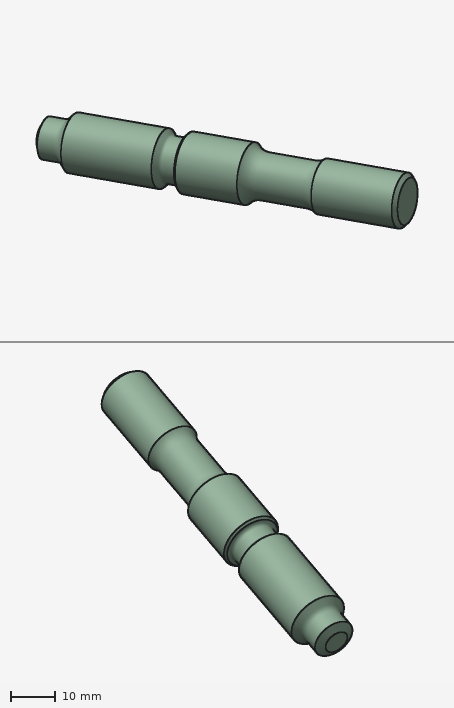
import cadquery as cq
import math

length = 91.0

nose_face_radius = 2.9
nose_radius = 5.0
body_radius = 7.0
groove_radius = 5.55
collar_diameter = 14.5
collar_radius = collar_diameter / 2
neck_radius = groove_radius
tail_radius = 6.5

nose_chamfer_end = 1.2
body_start = 8.0
body_end = 30.5
collar_start = 35.9
collar_end = 51.9
tail_start = 70.0

collar_chamfer = 0.55
tail_chamfer = 1.0
shoulder_root_radius = 2.0
groove_root_radius = 1.0
neck_root_radius = 5.0
cone_angle = math.radians(45)


def cone_root(root_radius):
    """Axial run and radial rise of a root arc turning from the axis to the cone slope."""
    run = root_radius * math.sin(cone_angle)
    rise = root_radius * (1 - math.cos(cone_angle))
    return run, rise


def arc_run(root_radius, rise):
    """Axial run of an arc that leaves a cylinder tangentially and climbs by rise."""
    return math.sqrt(root_radius**2 - (root_radius - rise) ** 2)


shoulder_run, shoulder_rise = cone_root(shoulder_root_radius)
shoulder_cone_radius = nose_radius + shoulder_rise
shoulder_cone_start = body_start - (body_radius - shoulder_cone_radius) / math.tan(cone_angle)
nose_end = shoulder_cone_start - shoulder_run

groove_run, groove_rise = cone_root(groove_root_radius)
groove_cone_radius = groove_radius + groove_rise
groove_cone_end = body_end + (body_radius - groove_cone_radius) / math.tan(cone_angle)
groove_start = groove_cone_end + groove_run
groove_end = collar_start - groove_root_radius

neck_start = collar_end + arc_run(neck_root_radius, collar_radius - neck_radius)
neck_end = tail_start - arc_run(neck_root_radius, tail_radius - neck_radius)

profile = (
    cq.Workplane("XY")
    .moveTo(0, 0)
    .lineTo(0, nose_face_radius)
    .lineTo(nose_chamfer_end, nose_radius)
    .lineTo(nose_end, nose_radius)
    .radiusArc((shoulder_cone_start, shoulder_cone_radius), -shoulder_root_radius)
    .lineTo(body_start, body_radius)
    .lineTo(body_end, body_radius)
    .lineTo(groove_cone_end, groove_cone_radius)
    .radiusArc((groove_start, groove_radius), -groove_root_radius)
    .lineTo(groove_end, groove_radius)
    .radiusArc((collar_start, groove_radius + groove_root_radius), -groove_root_radius)
    .lineTo(collar_start, collar_radius - collar_chamfer)
    .lineTo(collar_start + collar_chamfer, collar_radius)
    .lineTo(collar_end, collar_radius)
    .radiusArc((neck_start, neck_radius), -neck_root_radius)
    .lineTo(neck_end, neck_radius)
    .radiusArc((tail_start, tail_radius), -neck_root_radius)
    .lineTo(length - tail_chamfer, tail_radius)
    .lineTo(length, tail_radius - tail_chamfer)
    .lineTo(length, 0)
    .close()
)

result = profile.revolve(360, (0, 0, 0), (1, 0, 0))